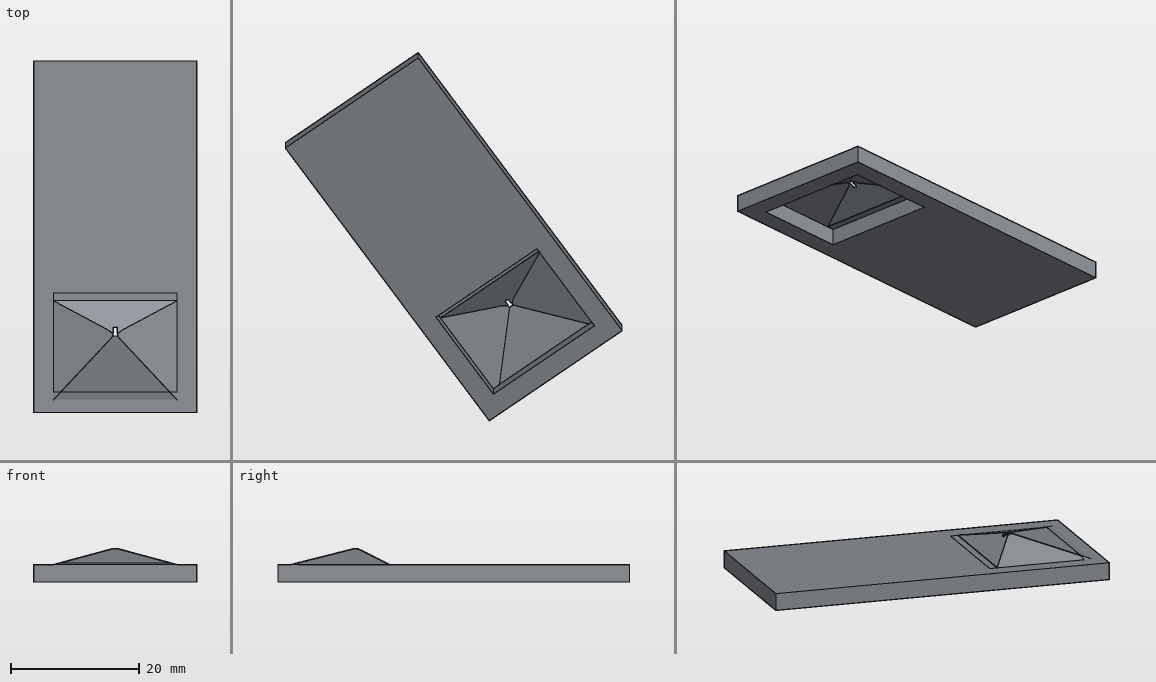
import cadquery as cq

plate_width = 25.4
plate_length = 54.8
plate_thickness = 2.75
plate_front = -plate_length / 2

total_height = 5.25
roof_width = 19.3
roof_length = 15.45
roof_front = plate_front + 2.0
roof_back = roof_front + roof_length
apex_y = plate_front + 12.3
skin_drop = 0.08

vent_width = 0.75
vent_slot_width = 0.55
vent_front = plate_front + 11.95
vent_step = plate_front + 12.4
vent_back = plate_front + 13.25

facet_back = plate_front + 12.8
facet_slope = 0.34

cavity_setback = 1.2

front_slope = (total_height - plate_thickness) / (vent_front - roof_front)
roof_rise = front_slope * (apex_y - roof_front)
back_slope = roof_rise / (roof_back - apex_y)
clear_height = 2 * total_height


def pyramid(base_z):
    """Four-sided pyramid over the roof outline, with its base at base_z."""
    half = roof_width / 2
    corners = [
        cq.Vector(-half, roof_front, base_z),
        cq.Vector(half, roof_front, base_z),
        cq.Vector(half, roof_back, base_z),
        cq.Vector(-half, roof_back, base_z),
    ]
    apex = cq.Vector(0, apex_y, base_z + roof_rise)
    outlines = [corners]
    outlines += [[start, end, apex] for start, end in zip(corners, corners[1:] + corners[:1])]
    faces = [cq.Face.makeFromWires(cq.Wire.makePolygon(points, close=True)) for points in outlines]
    return cq.Workplane(cq.Solid.makeSolid(cq.Shell.makeShell(faces)))


def block(width, front, back, height):
    """Block centred in X, from front to back in Y and from Z = 0 up to height."""
    centre_y = (front + back) / 2
    return cq.Workplane().center(0, centre_y).rect(width, back - front).extrude(height)


def tip_facet(drop):
    """Wedge that flattens the back of the tip, lowered by drop."""
    start_z = plate_thickness + back_slope * (roof_back - facet_back) - drop
    end_z = start_z + facet_slope * (facet_back - vent_front)
    outline = [
        (facet_back, start_z),
        (vent_front, end_z),
        (vent_front, clear_height),
        (facet_back, clear_height),
    ]
    return cq.Workplane("YZ").polyline(outline).close().extrude(roof_width / 2, both=True)


outer = block(plate_width, plate_front, -plate_front, plate_thickness)
outer = outer.union(pyramid(plate_thickness).cut(tip_facet(0)))

cavity_base = plate_thickness - skin_drop
cavity_front = roof_front + cavity_setback
cavity_back = roof_back + cavity_setback
opening = block(roof_width, cavity_front, cavity_back, cavity_base)
roof_space = pyramid(cavity_base).cut(tip_facet(skin_drop))
roof_space = roof_space.intersect(block(roof_width, cavity_front, cavity_back, clear_height))

vent = block(vent_width, vent_front, vent_step, clear_height)
vent = vent.union(block(vent_slot_width, vent_front, vent_back, clear_height))

result = outer.cut(opening).cut(roof_space).cut(vent)